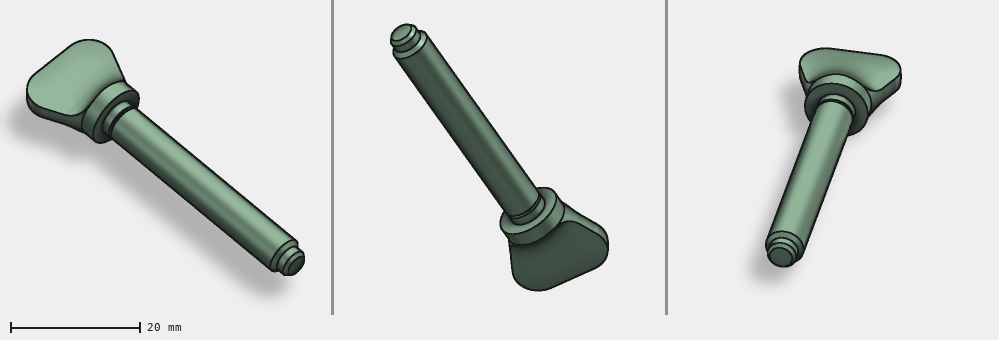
import cadquery as cq
import math

total_length = 54.0
shoulder_back = 14.05
shoulder_thickness = 2.55
shoulder_front = shoulder_back - shoulder_thickness
groove_start = 15.5
groove_width = 0.5
shaft_end = 51.3
tip_start = 52.0
tip_chamfer_length = 0.65

grip_radius = 8.0
shoulder_radius = 4.995
shaft_radius = 2.995
groove_radius = 2.3
tip_radius = 2.25
tip_end_radius = 1.8

grip_corner_radius = 4.0
grip_thickness = 2.5
scoop_radius = 3.0
scoop_center_x = 8.6
cut_margin = 2.7


def revolve_about_x(profile):
    return profile.close().revolve(360, (0, 0, 0), (1, 0, 0))


def make_head():
    """Round body: rounded corner, cone tangent to it, then the cylindrical shoulder."""
    center_x = grip_corner_radius
    center_r = grip_radius - grip_corner_radius
    run = shoulder_front - center_x
    rise = shoulder_radius - center_r
    cone_angle = math.asin(grip_corner_radius / math.hypot(run, rise)) - math.atan2(rise, run)
    tangent_point = (
        center_x + grip_corner_radius * math.sin(cone_angle),
        center_r + grip_corner_radius * math.cos(cone_angle),
    )
    corner_middle = (
        center_x - grip_corner_radius * math.sqrt(0.5),
        center_r + grip_corner_radius * math.sqrt(0.5),
    )
    profile = (
        cq.Workplane("XY")
        .lineTo(0, center_r)
        .threePointArc(corner_middle, tangent_point)
        .lineTo(shoulder_front, shoulder_radius)
        .lineTo(shoulder_back, shoulder_radius)
        .lineTo(shoulder_back, 0)
    )
    return revolve_about_x(profile)


def make_scoop(side):
    """Material above (side=1) or below (side=-1) the grip, with a round inner end."""
    face_z = side * grip_thickness / 2
    center_z = face_z + side * scoop_radius
    outer_z = side * (grip_radius + cut_margin)
    edge_z = side * shoulder_radius
    edge_x = scoop_center_x + math.sqrt(scoop_radius**2 - (edge_z - center_z) ** 2)
    arc_middle = (
        scoop_center_x + scoop_radius * math.sqrt(0.5),
        center_z - side * scoop_radius * math.sqrt(0.5),
    )
    return (
        cq.Workplane("XZ")
        .moveTo(-cut_margin, face_z)
        .lineTo(scoop_center_x, face_z)
        .threePointArc(arc_middle, (edge_x, edge_z))
        .lineTo(edge_x, outer_z)
        .lineTo(-cut_margin, outer_z)
        .close()
        .extrude(grip_radius + cut_margin, both=True)
    )


def make_shaft():
    """Shaft with a V groove, square on its shoulder side, and a stepped, chamfered tip."""
    groove_end = groove_start + groove_width
    profile = (
        cq.Workplane("XY")
        .moveTo(shoulder_front, 0)
        .lineTo(shoulder_front, shaft_radius)
        .lineTo(groove_start, shaft_radius)
        .lineTo(groove_start, groove_radius)
        .lineTo(groove_end, shaft_radius)
        .lineTo(shaft_end, shaft_radius)
        .lineTo(tip_start, tip_radius)
        .lineTo(total_length - tip_chamfer_length, tip_radius)
        .lineTo(total_length, tip_end_radius)
        .lineTo(total_length, 0)
    )
    return revolve_about_x(profile)


head = make_head()
for side in (1, -1):
    head = head.cut(make_scoop(side))

result = head.union(make_shaft())